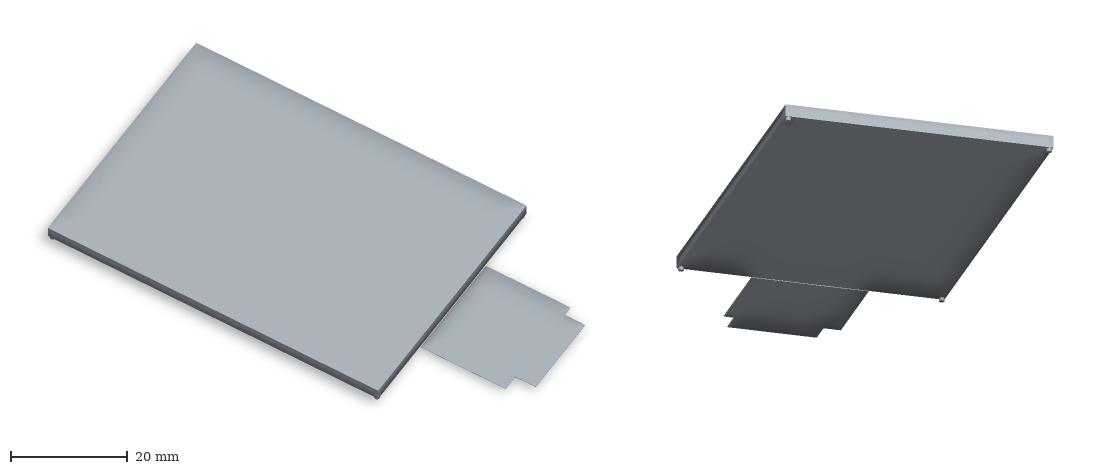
import cadquery as cq

overall_length = 88.3

panel_length = 66.8
panel_width = 47.8
panel_thickness = 2.2

screen_length = 57.65
screen_margin = 2.2
screen_width = panel_width - 2 * screen_margin
screen_thickness = 0.4

cable_gap = 0.22
cable_start = panel_length + cable_gap
cable_length = overall_length - cable_start
cable_width = 20.9
cable_thickness = 0.1
tab_length = 4.15
tab_width = 16.0
tab_offset_y = 0.6

foot_diameter = 1.0
foot_height = 0.6
foot_edge_gap = 0.13
foot_inset = foot_diameter / 2 + foot_edge_gap


def make_screen():
    """Thin rectangular plate whose top is level with the top of the panel."""
    return (
        cq.Workplane("XY")
        .box(screen_length, screen_width, screen_thickness, centered=(False, True, False))
        .translate((screen_margin, 0, panel_thickness - screen_thickness))
    )


def make_panel(screen):
    """Rectangular slab with a recess that fits the screen."""
    slab = cq.Workplane("XY").box(
        panel_length, panel_width, panel_thickness, centered=(False, True, False)
    )
    return slab.cut(screen)


def make_cable():
    """Flat strip just clear of the panel edge, level with its underside."""
    strip = (
        cq.Workplane("XY")
        .box(cable_length - tab_length, cable_width, cable_thickness, centered=(False, True, False))
        .translate((cable_start, 0, 0))
    )
    tab = (
        cq.Workplane("XY")
        .box(tab_length, tab_width, cable_thickness, centered=(False, True, False))
        .translate((overall_length - tab_length, tab_offset_y, 0))
    )
    return strip.union(tab).clean()


def make_foot(x, y):
    """Short cylinder hanging from the panel underside."""
    return cq.Workplane("XY").center(x, y).circle(foot_diameter / 2).extrude(-foot_height)


screen = make_screen()
panel = make_panel(screen)
cable = make_cable()

foot_y = panel_width / 2 - foot_inset
feet = []
for x in (foot_inset, panel_length - foot_inset):
    for y in (-foot_y, foot_y):
        feet.append(make_foot(x, y).val())

result = cq.Compound.makeCompound([panel.val(), screen.val(), cable.val(), *feet])